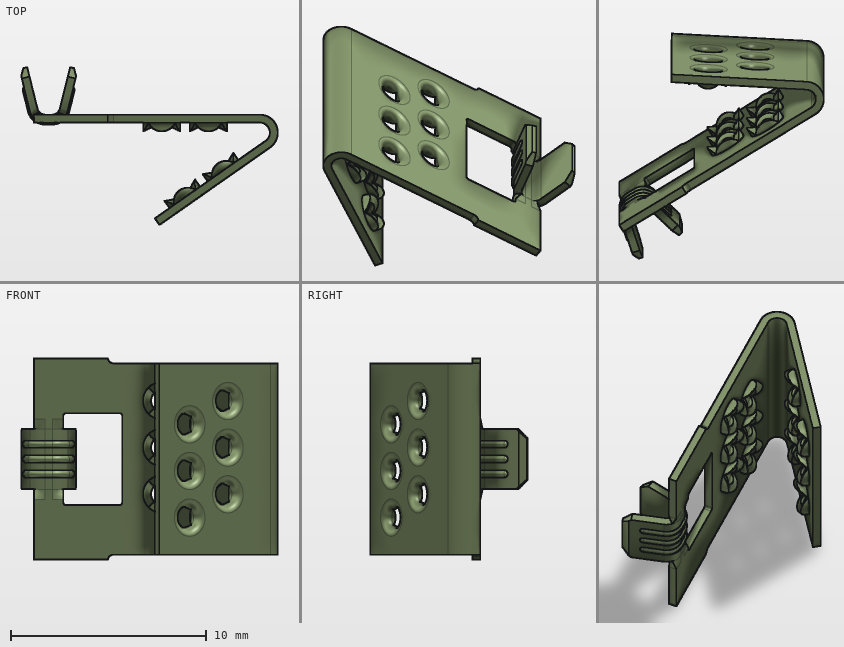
import math

import cadquery as cq

SHEET = 0.415
TALL_HEIGHT = 10.29
ARM_HEIGHT = 9.79
STEP_START_X = 3.785
STEP_RUN = 0.285

ARM_ANGLE = 35.0
FOLD_OUTER_R = 0.925
FOLD_CENTRE_X = 11.55
ARM_LENGTH = 6.91

HINGE_WIDTH = 1.51
WINDOW_WIDTH = 3.0
WINDOW_HEIGHT = 4.68
WINDOW_CORNER_R = 0.12

FLAT_WIDTH = 0.38
CLIP_HEIGHT = 3.08
RELIEF_HEIGHT = 4.12
CLIP_BEND_ANGLE = 76.0
CLIP_BEND_OUTER_R = 0.80
PRONG_LENGTH = 2.20
TIP_CHAMFER_LENGTH = 0.37
TIP_CHAMFER_DEPTH = 0.205
PRONG_CORNER = 0.50

RIB_PITCH = 0.76
RIB_COUNT = 3
RIB_HEIGHT = 0.10
RIB_RADIUS = 0.22
RIB_PRONG_LENGTH = 1.06

PIERCE_PITCH = 2.385
PIERCE_RADIUS = 0.54
CROWN_RADIUS = PIERCE_RADIUS + SHEET
CROWN_HEIGHT = 0.45
PLATE_COLUMN_X = 6.535
ARM_COLUMN_FROM_END = 1.87
HOLES_PER_COLUMN = 3
PETALS = 4

half_tall = TALL_HEIGHT / 2
half_arm = ARM_HEIGHT / 2
fold_inner_r = FOLD_OUTER_R - SHEET
clip_x = HINGE_WIDTH / 2
half_flat = FLAT_WIDTH / 2
flat_edge_x = clip_x - half_flat
half_clip = CLIP_HEIGHT / 2
half_relief = RELIEF_HEIGHT / 2
clip_bend_inner_r = CLIP_BEND_OUTER_R - SHEET
clip_bend_y = clip_bend_inner_r
column_offset = PIERCE_PITCH / 4

arm_rad = math.radians(ARM_ANGLE)
arm_dir = cq.Vector(-math.cos(arm_rad), -math.sin(arm_rad), 0)
arm_out = cq.Vector(math.sin(arm_rad), -math.cos(arm_rad), 0)
fold_centre = cq.Vector(FOLD_CENTRE_X, -FOLD_OUTER_R, 0)

clip_rad = math.radians(CLIP_BEND_ANGLE)


def fold_point(radius, angle):
    """Point on the fold, with the angle in radians measured from +X."""
    return fold_centre + cq.Vector(radius * math.cos(angle), radius * math.sin(angle), 0)


def xy(point):
    return (point.x, point.y)


def make_folded_sheet():
    """Plate, fold and arm as one strip, extruded to the full plate height."""
    fold_end = arm_rad - math.pi / 2
    fold_middle = (math.pi / 2 + fold_end) / 2
    outer_end = fold_point(FOLD_OUTER_R, fold_end)
    inner_end = fold_point(fold_inner_r, fold_end)
    return (
        cq.Workplane("XY")
        .moveTo(0, 0)
        .lineTo(FOLD_CENTRE_X, 0)
        .threePointArc(xy(fold_point(FOLD_OUTER_R, fold_middle)), xy(outer_end))
        .lineTo(*xy(outer_end + arm_dir * ARM_LENGTH))
        .lineTo(*xy(inner_end + arm_dir * ARM_LENGTH))
        .lineTo(*xy(inner_end))
        .threePointArc(xy(fold_point(fold_inner_r, fold_middle)), (FOLD_CENTRE_X, -SHEET))
        .lineTo(0, -SHEET)
        .close()
        .extrude(half_tall, both=True)
    )


def make_edge_step():
    """Strip removed above the arm, ending in a concave arc tangent to the narrow edge."""
    drop = half_tall - half_arm
    radius = (STEP_RUN**2 + drop**2) / (2 * drop)
    half_sweep = math.asin(STEP_RUN / radius) / 2
    arc_end_x = STEP_START_X + STEP_RUN
    arc_middle = (
        arc_end_x - radius * math.sin(half_sweep),
        half_arm + radius * (1 - math.cos(half_sweep)),
    )
    far_x = FOLD_CENTRE_X + 2 * FOLD_OUTER_R
    return (
        cq.Workplane("XZ")
        .moveTo(STEP_START_X, half_tall)
        .threePointArc(arc_middle, (arc_end_x, half_arm))
        .lineTo(far_x, half_arm)
        .lineTo(far_x, half_tall)
        .close()
        .extrude(TALL_HEIGHT, both=True)
    )


def make_window():
    return (
        cq.Workplane("XY")
        .box(WINDOW_WIDTH, 2 * SHEET, WINDOW_HEIGHT)
        .edges("|Y")
        .fillet(WINDOW_CORNER_R)
        .translate((HINGE_WIDTH + WINDOW_WIDTH / 2, -SHEET / 2, 0))
    )


def make_clip_relief():
    """Space beside the flat strip, cleared for one bent side of the clip."""
    block = cq.Workplane("XY").box(flat_edge_x, SHEET, RELIEF_HEIGHT)
    return block.translate((flat_edge_x / 2, -SHEET / 2, 0))


def clip_bend_point(radius, angle):
    """Point on the left bend of the clip, with the angle in radians measured from the flat strip."""
    return (
        flat_edge_x - radius * math.sin(angle),
        clip_bend_y - radius * math.cos(angle),
    )


def along_prong(start, length, inward=0.0):
    """Move along the left prong, and towards the inside of the clip."""
    return (
        start[0] - length * math.cos(clip_rad) + inward * math.sin(clip_rad),
        start[1] + length * math.sin(clip_rad) + inward * math.cos(clip_rad),
    )


def make_prong():
    """Left half of the clip: half the flat strip, the bend and the prong with its bevelled tip."""
    outer_end = clip_bend_point(CLIP_BEND_OUTER_R, clip_rad)
    inner_end = clip_bend_point(clip_bend_inner_r, clip_rad)
    prong = (
        cq.Workplane("XY")
        .moveTo(clip_x, -SHEET)
        .lineTo(flat_edge_x, -SHEET)
        .threePointArc(clip_bend_point(CLIP_BEND_OUTER_R, clip_rad / 2), outer_end)
        .lineTo(*along_prong(outer_end, PRONG_LENGTH - TIP_CHAMFER_LENGTH))
        .lineTo(*along_prong(outer_end, PRONG_LENGTH, TIP_CHAMFER_DEPTH))
        .lineTo(*along_prong(inner_end, PRONG_LENGTH))
        .lineTo(*inner_end)
        .threePointArc(clip_bend_point(clip_bend_inner_r, clip_rad / 2), (flat_edge_x, 0))
        .lineTo(clip_x, 0)
        .close()
        .extrude(half_clip, both=True)
    )
    prong_plane = cq.Plane(
        origin=along_prong(outer_end, PRONG_LENGTH) + (0,),
        xDir=(-math.cos(clip_rad), math.sin(clip_rad), 0),
        normal=(math.sin(clip_rad), math.cos(clip_rad), 0),
    )
    for side in (1, -1):
        corner = (
            cq.Workplane(prong_plane)
            .moveTo(0, side * half_clip)
            .lineTo(-PRONG_CORNER, side * half_clip)
            .lineTo(0, side * (half_clip - PRONG_CORNER))
            .close()
            .extrude(SHEET)
        )
        prong = prong.cut(corner)
    return prong


def make_transition():
    """Ruled web joining the flat plate section to the upper end of the left clip bend."""
    web_angle = math.asin(flat_edge_x / CLIP_BEND_OUTER_R)
    flat_section = (
        cq.Workplane("XY", origin=(0, 0, half_relief))
        .moveTo(flat_edge_x, -SHEET)
        .lineTo(0, -SHEET)
        .lineTo(0, 0)
        .lineTo(flat_edge_x, 0)
        .close()
    )
    bent_section = (
        cq.Workplane("XY", origin=(0, 0, half_clip))
        .moveTo(flat_edge_x, -SHEET)
        .threePointArc(
            clip_bend_point(CLIP_BEND_OUTER_R, web_angle / 2),
            clip_bend_point(CLIP_BEND_OUTER_R, web_angle),
        )
        .lineTo(*clip_bend_point(clip_bend_inner_r, web_angle))
        .threePointArc(clip_bend_point(clip_bend_inner_r, web_angle / 2), (flat_edge_x, 0))
        .close()
    )
    sections = [flat_section.wires().val(), bent_section.wires().val()]
    return cq.Workplane(cq.Solid.makeLoft(sections, True))


def make_half_rib():
    """Round bar half sunk in the outside of the left clip half, with a domed end."""
    bar_bend_r = CLIP_BEND_OUTER_R + RIB_HEIGHT - RIB_RADIUS
    bar_y = clip_bend_y - bar_bend_r
    bend_end = clip_bend_point(bar_bend_r, clip_rad)
    bar_end = along_prong(bend_end, RIB_PRONG_LENGTH)
    path = (
        cq.Workplane("XY")
        .moveTo(clip_x, bar_y)
        .lineTo(flat_edge_x, bar_y)
        .threePointArc(clip_bend_point(bar_bend_r, clip_rad / 2), bend_end)
        .lineTo(*bar_end)
    )
    bar = cq.Workplane("YZ", origin=(clip_x, bar_y, 0)).circle(RIB_RADIUS).sweep(path)
    return bar.union(cq.Workplane("XY").sphere(RIB_RADIUS).translate(bar_end + (0,)))


def mirror_across_clip(shape):
    return shape.mirror("YZ", (clip_x, 0, 0))


def make_clip():
    half = make_prong()
    upper_transition = make_transition()
    half = half.union(upper_transition).union(upper_transition.mirror("XY"))
    rib = make_half_rib()
    for index in range(RIB_COUNT):
        half = half.union(rib.translate((0, 0, (index - (RIB_COUNT - 1) / 2) * RIB_PITCH)))
    return half.union(mirror_across_clip(half))


def make_crown_petals():
    """Four pointed petals on z = 0, their tops being cones that fan out from the centre."""
    ring = cq.Workplane("XY").circle(CROWN_RADIUS).circle(PIERCE_RADIUS).extrude(CROWN_HEIGHT)
    near = PIERCE_RADIUS / 2
    far = CROWN_RADIUS

    def petal_section(distance):
        rise = CROWN_HEIGHT * distance / CROWN_RADIUS
        section = (
            cq.Workplane("YZ", origin=(distance, 0, 0))
            .moveTo(-distance, 0)
            .threePointArc((0, rise), (distance, 0))
            .lineTo(distance, -rise)
            .lineTo(-distance, -rise)
            .close()
        )
        return section.wires().val()

    fan = cq.Workplane(cq.Solid.makeLoft([petal_section(near), petal_section(far)], True))
    petal = fan.intersect(ring)
    return [petal.rotate((0, 0, 0), (0, 0, 1), index * 360 / PETALS).val() for index in range(PETALS)]


def make_pierced_hole():
    """Hole through the sheet below z = 0, flaring out in a full-thickness radius."""
    flare_middle = (
        CROWN_RADIUS - SHEET * math.cos(math.pi / 4),
        -SHEET * math.sin(math.pi / 4),
    )
    return (
        cq.Workplane("XZ")
        .moveTo(0, -SHEET)
        .lineTo(CROWN_RADIUS, -SHEET)
        .threePointArc(flare_middle, (PIERCE_RADIUS, 0))
        .lineTo(0, 0)
        .close()
        .revolve(360, (0, 0, 0), (0, 1, 0))
    )


def pierce_planes():
    """Planes centred on each hole, lying on the crown side of the sheet and facing outwards."""
    arm_end = fold_centre + arm_out * fold_inner_r + arm_dir * ARM_LENGTH
    arm_x_dir = arm_dir * -1
    planes = []
    for column, shift in ((0, 1), (1, -1)):
        for row in range(HOLES_PER_COLUMN):
            z = (row - (HOLES_PER_COLUMN - 1) / 2) * PIERCE_PITCH
            plate_z = z + shift * column_offset
            plate_x = PLATE_COLUMN_X + column * PIERCE_PITCH
            planes.append(cq.Plane((plate_x, -SHEET, plate_z), (1, 0, 0), (0, -1, 0)))
            from_end = ARM_COLUMN_FROM_END + column * PIERCE_PITCH
            arm_point = arm_end - arm_dir * from_end
            arm_z = z - shift * column_offset
            planes.append(cq.Plane((arm_point.x, arm_point.y, arm_z), arm_x_dir, arm_out * -1))
    return planes


sheet = make_folded_sheet()
edge_step = make_edge_step()
sheet = sheet.cut(edge_step).cut(edge_step.mirror("XY")).cut(make_window())

relief = make_clip_relief()
sheet = sheet.cut(relief).cut(mirror_across_clip(relief))

locations = [cq.Location(plane) for plane in pierce_planes()]
pierced_hole = make_pierced_hole().val()
crown_petals = make_crown_petals()
pierced_sheet = sheet.val().cut(*[pierced_hole.moved(location) for location in locations])
petals = [petal.moved(location) for location in locations for petal in crown_petals]

result = cq.Workplane(pierced_sheet.fuse(*petals, make_clip().val()))